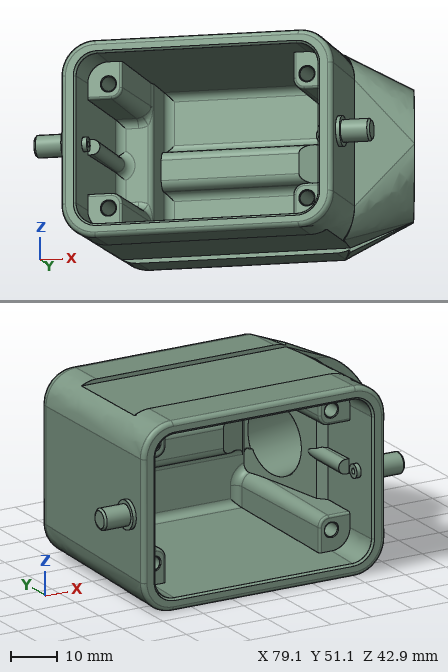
import cadquery as cq
import math

overall_length = 79.05
pin_tip_x = 37.15

height = 45.9
rim_half_x = 30.05
rim_width = 42.9
rim_half_z = rim_width / 2
top_half_x = 29.25
top_width = 41.7
top_half_z = top_width / 2
corner_radius = 7.4
top_rounding = 3.55
rim_rounding = 1.0
shoulder_y = height - top_rounding

margin = 0.8

panel_low_y = 10.4
panel_high_y = 33.6
panel_depth = 0.95

outlet_y = 37.5
outlet_radius = 14.2
outlet_tilt = math.radians(16)
outlet_x = overall_length - pin_tip_x - outlet_radius * math.sin(outlet_tilt)
bore_radius = 8.4
bore_length = 22.1
outlet_top_x = 19.7
outlet_shoulder_x = 21.5
outlet_panel_x = 25.0
outlet_corner_x = 26.2
outlet_corner_y = 23.95
outlet_low_y = 19.85
outlet_apex_x = 15.8

cavity_half_x = 26.8
cavity_half_z = 18.6
cavity_corner = 4.75
cavity_floor_y = 42.7
cavity_draft = 1.6
cavity_mouth_chamfer = 0.5
floor_fillet = 1.8

boss_face_y = 9.2
boss_inner_x = 19.0
boss_inner_z = 10.3
boss_corner = 2.4
boss_draft = 1.2
boss_edge_rounding = 0.55
screw_x = 22.0
screw_z = 13.5
screw_radius = 1.6
screw_depth = 11.85
screw_chamfer = 0.2

shelf_y = 31.6
shelf_end_x = -18.2
shelf_edge_rounding = 1.0
cable_wall_low_y = 19.8
cable_wall_low_x = 24.5
cable_wall_bevel = 2.4
cable_wall_floor_x = 19.85

ridge_half_z = 4.3
ridge_height = 4.2
ridge_rounding = 2.05
ridge_top_y = cavity_floor_y - ridge_height
ramp_start_x = 12.3
ramp_end_x = 19.5

rib_radius = 1.65
rib_tip_x = 23.95
rib_face_y = 9.5

pin_y = 6.2
pin_radius = 2.45
wall_mid_x = (cavity_half_x + rim_half_x) / 2
pin_chamfer = 0.5
collar_radius = 3.3
collar_x = 30.8
pin_head_radius = 1.6
pin_head_x = 25.6
pin_head_hole = 0.6


def shell_half(rim, top, y):
    """Half size of the drafted shell at height y."""
    return rim + (top - rim) * y / shoulder_y


def shell_half_x(y):
    return shell_half(rim_half_x, top_half_x, y)


def shell_half_z(y):
    return shell_half(rim_half_z, top_half_z, y)


def rounded_rectangle(half_x, half_z, radius):
    return cq.Sketch().rect(2 * half_x, 2 * half_z).vertices().fillet(radius)


def box(x0, x1, y0, y1, z0, z1):
    """Axis-aligned block between two opposite corners."""
    return cq.Workplane("XY").box(x1 - x0, y1 - y0, z1 - z0, centered=False).translate((x0, y0, z0))


def make_shell():
    """Solid, slightly tapered block with rounded edges."""
    rim = rounded_rectangle(rim_half_x, rim_half_z, corner_radius)
    top = rounded_rectangle(shell_half_x(height), shell_half_z(height), corner_radius)
    top = top.moved(cq.Location(cq.Vector(0, 0, -height)))
    shell = cq.Workplane("XZ").placeSketch(rim, top).loft(ruled=True)
    shell = shell.faces(">Y").edges().fillet(top_rounding)
    return shell.faces("<Y").edges().fillet(rim_rounding)


def panel_floor_z(y):
    return shell_half_z(y) - panel_depth


def make_panel_cuts():
    """Recesses whose floors follow the draft of the long sides."""
    outside = rim_half_z + margin
    outline = [
        (panel_low_y, panel_floor_z(panel_low_y)),
        (panel_high_y, panel_floor_z(panel_high_y)),
        (panel_high_y, outside),
        (panel_low_y, outside),
    ]
    upper = cq.Workplane("YZ").polyline(outline).close().extrude(rim_half_x + margin, both=True)
    return upper.union(upper.mirror("XY"))


def make_outlet_clearance():
    """Everything of the shell beyond the line where the outlet starts."""
    outside = rim_half_x + margin
    outline = [
        (outlet_top_x, height),
        (outlet_shoulder_x, shoulder_y),
        (outlet_panel_x, panel_high_y),
        (outlet_corner_x, outlet_corner_y),
        (shell_half_x(outlet_low_y), outlet_low_y),
        (outside, outlet_low_y),
        (outside, height + margin),
        (outlet_top_x, height + margin),
    ]
    return cq.Workplane("XY").polyline(outline).close().extrude(rim_half_z + margin, both=True)


def outlet_point(angle_degrees):
    """Point on the outlet circle; 0 is the highest (+Y) point, 90 the +Z side."""
    angle = math.radians(angle_degrees)
    along = outlet_radius * math.cos(angle)
    return cq.Vector(
        outlet_x - along * math.sin(outlet_tilt),
        outlet_y + along * math.cos(outlet_tilt),
        outlet_radius * math.sin(angle),
    )


def outlet_arc(start, end):
    middle = (start + end) / 2
    return cq.Edge.makeThreePointArc(outlet_point(start), outlet_point(middle), outlet_point(end))


def triangle(a, b, c):
    return cq.Face.makeFromWires(cq.Wire.makePolygon([a, b, c], close=True))


def fan(edge, apex):
    """Face between a curved edge and a point."""
    to_apex = cq.Edge.makeLine(edge.endPoint(), apex)
    from_apex = cq.Edge.makeLine(apex, edge.startPoint())
    return cq.Face.makeNSidedSurface([edge, to_apex, from_apex], [])


def outlet_base_points(side):
    """Points where the outlet leaves the shell, from top to bottom; side is +1 at +Z, -1 at -Z."""
    half_z_top = shell_half_z(shoulder_y)
    rounding_z = half_z_top - top_rounding
    diagonal = math.sqrt(0.5)
    low_x = shell_half_x(outlet_low_y)
    corner_mid_angle = math.radians(30)
    corner_mid_x = low_x - corner_radius * (1 - math.cos(corner_mid_angle))
    slope = (outlet_corner_y - outlet_low_y) / (low_x - outlet_corner_x)
    corner_center_z = shell_half_z(outlet_low_y) - corner_radius
    points = [
        (outlet_top_x, height, rounding_z),
        (
            outlet_shoulder_x + (outlet_top_x - outlet_shoulder_x) * diagonal,
            shoulder_y + top_rounding * diagonal,
            rounding_z + top_rounding * diagonal,
        ),
        (outlet_shoulder_x, shoulder_y, half_z_top),
        (outlet_panel_x, panel_high_y, shell_half_z(panel_high_y)),
        (outlet_panel_x, panel_high_y, panel_floor_z(panel_high_y)),
        (outlet_corner_x, outlet_corner_y, panel_floor_z(outlet_corner_y)),
        (
            corner_mid_x,
            outlet_low_y + slope * (low_x - corner_mid_x),
            corner_center_z + corner_radius * math.sin(corner_mid_angle),
        ),
        (low_x, outlet_low_y, corner_center_z),
    ]
    return [cq.Vector(x, y, side * z) for x, y, z in points]


def make_outlet():
    """Transition from the shell to the outlet circle: flat triangles and conical corners.

    It is closed inside the shell by faces that meet in a single point.
    """
    apex = cq.Vector(outlet_apex_x, panel_high_y, 0)
    upper = outlet_base_points(1)
    lower = outlet_base_points(-1)
    flat_sides = [(upper[0], lower[0], 0), (upper[-1], lower[-1], 180)]
    faces = []
    for side, points in ((1, upper), (-1, lower)):
        for arc_points, start, end in ((points[:3], 0, 90), (points[-3:], 90, 180)):
            base = cq.Edge.makeThreePointArc(*arc_points)
            faces.append(cq.Face.makeRuledSurface(base, outlet_arc(side * start, side * end)))
            faces.append(fan(base, apex))
        side_points = points[2:-2]
        flat_sides += [(a, b, side * 90) for a, b in zip(side_points, side_points[1:])]
    for a, b, angle in flat_sides:
        faces.append(triangle(a, b, outlet_point(angle)))
        faces.append(triangle(a, b, apex))
    circle = cq.Wire.assembleEdges([outlet_arc(a, a + 90) for a in (0, 90, 180, 270)])
    faces.append(cq.Face.makeFromWires(circle))
    return cq.Workplane(cq.Solid.makeSolid(cq.Shell.makeShell(faces)))


def make_corner_boss(side_x, side_z):
    """Screw boss filling one cavity corner."""
    size_x = rim_half_x - boss_inner_x
    size_z = rim_half_z - boss_inner_z
    boss = (
        cq.Workplane("XZ", origin=(boss_inner_x + size_x / 2, boss_face_y, boss_inner_z + size_z / 2))
        .sketch()
        .rect(size_x, size_z)
        .vertices("<X and <Y")
        .fillet(boss_corner)
        .finalize()
        .extrude(boss_face_y - height, taper=-boss_draft)
    )
    boss = boss.faces("<Y").edges("not(>X or >Z)").fillet(boss_edge_rounding)
    if side_x < 0:
        boss = boss.mirror("YZ")
    if side_z < 0:
        boss = boss.mirror("XY")
    return boss


def make_shelf():
    """Raised step of the floor at the -X end."""
    shelf = box(-rim_half_x, shelf_end_x, shelf_y, height, -rim_half_z, rim_half_z)
    return shelf.edges(">X and <Y").fillet(shelf_edge_rounding)


def make_cable_wall():
    """Sloping wall that faces the cable bore."""
    outline = [
        (cable_wall_low_x, cable_wall_low_y),
        (cable_wall_low_x + cable_wall_bevel, cable_wall_low_y - cable_wall_bevel),
        (rim_half_x, cable_wall_low_y - cable_wall_bevel),
        (rim_half_x, cavity_floor_y),
        (cable_wall_floor_x, cavity_floor_y),
    ]
    return cq.Workplane("XY").polyline(outline).close().extrude(rim_half_z, both=True)


def make_ridge():
    """Rounded ridge along the cavity floor."""
    ridge = box(shelf_end_x - margin, rim_half_x, ridge_top_y, height, -ridge_half_z, ridge_half_z)
    return ridge.edges("|X and <Y").fillet(ridge_rounding)


def make_ramp():
    """Wedge of open space above the sloping cable end of the ridge."""
    outline = [
        (ramp_start_x, ridge_top_y),
        (ramp_end_x, cavity_floor_y),
        (cable_wall_floor_x, cavity_floor_y),
        (cable_wall_floor_x, ridge_top_y),
    ]
    half_width = ridge_half_z + floor_fillet
    return cq.Workplane("XY").polyline(outline).close().extrude(half_width, both=True)


def make_end_rib(side_x):
    """Half-round rib along an end wall."""
    center_x = rib_tip_x + rib_radius
    rib = (
        cq.Workplane("XZ", origin=(0, rib_face_y, 0))
        .moveTo(rim_half_x, -rib_radius)
        .lineTo(center_x, -rib_radius)
        .threePointArc((rib_tip_x, 0), (center_x, rib_radius))
        .lineTo(rim_half_x, rib_radius)
        .close()
        .extrude(rib_face_y - height)
    )
    return rib if side_x > 0 else rib.mirror("YZ")


def make_rib_foot():
    """Rounded flare where the -X rib meets the shelf."""
    start_y = shelf_y - floor_fillet
    foot_radius = rib_radius + floor_fillet
    middle = floor_fillet * (1 - math.sqrt(0.5))
    return (
        cq.Workplane("XY", origin=(-rib_tip_x - rib_radius, 0, 0))
        .moveTo(0, start_y)
        .lineTo(rib_radius, start_y)
        .threePointArc((rib_radius + middle, shelf_y - middle), (foot_radius, shelf_y))
        .lineTo(0, shelf_y)
        .close()
        .revolve(360, (0, 0, 0), (0, 1, 0))
    )


def make_cavity():
    """Space inside the hood, to be cut from the shell."""
    mouth = rounded_rectangle(cavity_half_x, cavity_half_z, cavity_corner)
    cavity = cq.Workplane("XZ").placeSketch(mouth).extrude(-cavity_floor_y, taper=cavity_draft)
    for side_x in (1, -1):
        for side_z in (1, -1):
            cavity = cavity.cut(make_corner_boss(side_x, side_z))
    cavity = cavity.cut(make_shelf()).cut(make_ridge())
    cavity = cavity.faces(">Y").edges().fillet(floor_fillet)
    shelf_face = cq.selectors.NearestToPointSelector((-cavity_half_x + boss_corner, shelf_y, 0))
    cavity = cavity.faces(shelf_face).edges("<X or >Z or <Z").fillet(floor_fillet)
    cavity = cavity.cut(make_cable_wall()).union(make_ramp())
    for side_x in (1, -1):
        cavity = cavity.cut(make_end_rib(side_x))
    return cavity.cut(make_rib_foot())


def make_pin(side_x):
    """Pin on an end wall, with an outer collar and an inner head."""
    head = cq.Workplane("YZ", origin=(pin_head_x, pin_y, 0))
    wall = cq.Workplane("YZ", origin=(wall_mid_x, pin_y, 0))
    pin = wall.circle(pin_radius).extrude(pin_tip_x - wall_mid_x).faces(">X").chamfer(pin_chamfer)
    pin = pin.union(wall.circle(collar_radius).extrude(collar_x - wall_mid_x))
    pin = pin.union(head.circle(pin_head_radius).circle(pin_head_hole).extrude(wall_mid_x - pin_head_x))
    return pin if side_x > 0 else pin.mirror("YZ")


def make_screw_holes():
    """Blind chamfered holes in the boss faces."""
    centers = [(sx * screw_x, sz * screw_z) for sx in (1, -1) for sz in (1, -1)]
    holes = cq.Workplane("XZ", origin=(0, boss_face_y, 0)).pushPoints(centers)
    mouth_radius = screw_radius + screw_chamfer
    cones = holes.circle(mouth_radius).extrude(-screw_chamfer, taper=45)
    return holes.circle(screw_radius).extrude(-screw_depth).union(cones)


def make_bore():
    """Cable bore along the tilted outlet axis."""
    axis = cq.Vector(math.cos(outlet_tilt), math.sin(outlet_tilt), 0)
    start = cq.Vector(outlet_x, outlet_y, 0) - axis * bore_length
    return cq.Workplane(cq.Solid.makeCylinder(bore_radius, bore_length, start, axis))


def make_mouth_chamfer():
    """Flare at the cavity mouth."""
    mouth = rounded_rectangle(
        cavity_half_x + cavity_mouth_chamfer,
        cavity_half_z + cavity_mouth_chamfer,
        cavity_corner + cavity_mouth_chamfer,
    )
    return cq.Workplane("XZ").placeSketch(mouth).extrude(-cavity_mouth_chamfer, taper=45)


result = make_shell().cut(make_panel_cuts()).cut(make_outlet_clearance())
result = result.union(make_outlet())
result = result.cut(make_cavity()).cut(make_mouth_chamfer())
result = result.cut(make_screw_holes()).cut(make_bore())
for end in (1, -1):
    result = result.union(make_pin(end))